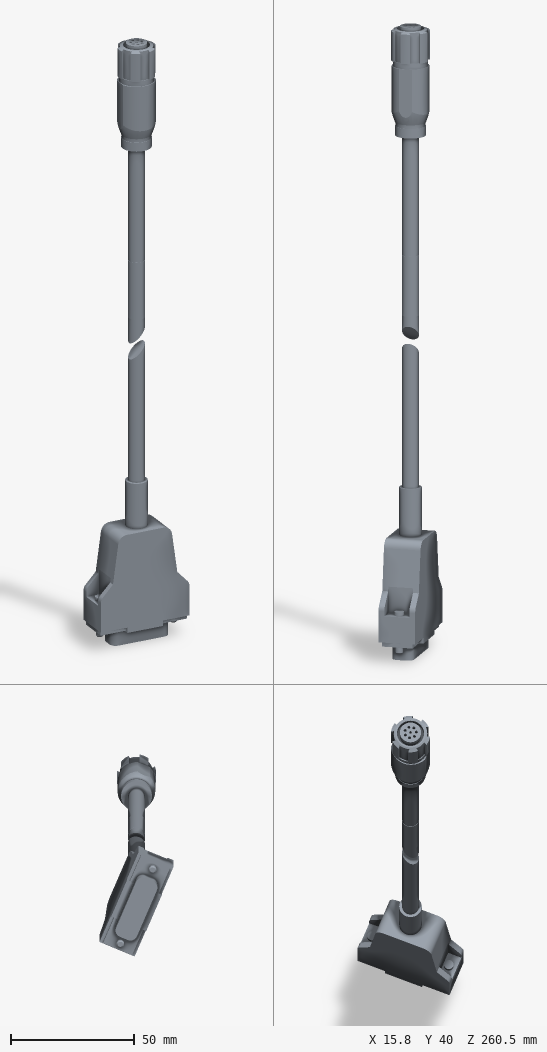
import cadquery as cq
import math

CABLE_DIA = 6.8
LABEL_DIA = 7.0
LABEL_BOTTOM_Z = 140.5
LABEL_TOP_Z = 165.5
CUT_ANGLE = 45
UPPER_CUT_Z = 132.8
LOWER_CUT_Z = 125.8

COLLAR_DIA = 12.5
COLLAR_BOTTOM_Z = 215.1
COLLAR_TOP_Z = 219.0
GROOVE_DIA = 12.0
SHOULDER_DIA = 12.5
SHOULDER_BOTTOM_Z = 220.5
SHOULDER_MID_RADIUS = 7.5
SHOULDER_MID_Z = 224.5
SHOULDER_TOP_RADIUS = 8.0
SHOULDER_TOP_Z = 228.7
GRIP_ACROSS_FLATS = 14.8
GRIP_ACROSS_SIDES = 15.0
GRIP_FLAT_WIDTH = 5.5
GRIP_TOP_Z = 244.0
NECK_DIA = 14.3
NUT_BOTTOM_Z = 246.5
NUT_TOP_Z = 259.5
NUT_DIA = 16.0
NUT_CHAMFER_HEIGHT = 0.8
NUT_CHAMFER_WIDTH = 1.8
NUT_BORE_DIA = 11.0
NUT_BORE_DEPTH = 2.5
NUT_GROOVE_COUNT = 6
NUT_GROOVE_WIDTH = 4.2
NUT_GROOVE_FLOOR_DIA = 13.5
PLUG_DIA = 8.5
PLUG_TOP_Z = 260.5
CONTACT_DIA = 1.2
CONTACT_DEPTH = 2.5
CONTACT_RING_RADIUS = 2.3
CONTACT_RING_COUNT = 7
CENTRE_CONTACT_DIA = 1.0

HOOD_THICKNESS = 15.4
HOOD_LENGTH = 40.0
HOOD_BOTTOM_Z = 8.5
HOOD_TOP_Z = 49.2
HOOD_TOP_LENGTH = 23.5
HOOD_TOP_ROUND = 4.0
WAIST_LENGTH = 29.2
WAIST_Z = 28.6
SHOULDER_Z = 23.0
SHOULDER_ROUND = 3.0
TONGUE_LENGTH = 16.1
TONGUE_BOTTOM_Z = 6.3
FLANGE_THICKNESS = 12.8
FLANGE_LENGTH = 39.0
FLANGE_BOTTOM_Z = 6.8
SHELL_THICKNESS = 9.0
SHELL_LENGTH = 26.3
SHELL_ROUND = 2.9
POCKET_WIDTH = 10.5
POCKET_FLOOR_Z = 19.5
POCKET_WALL_Y = 14.3
SCREW_Y = 16.7
SCREW_DIA = 3.0
SCREW_BOTTOM_Z = 3.6
SCREW_CHAMFER = 0.5
SCREW_HEAD_DIA = 4.0
SCREW_HEAD_HEIGHT = 1.5
SLEEVE_DIA = 9.0
SLEEVE_TOP_Z = 69.0


def cylinder(diameter, bottom_z, top_z):
    """Cylinder on the Z axis between two heights."""
    return cq.Workplane("XY").workplane(offset=bottom_z).circle(diameter / 2).extrude(top_z - bottom_z)


def block(x_size, y_size, bottom_z, top_z):
    """Box centred on the Z axis between two heights."""
    return cq.Workplane("XY").workplane(offset=bottom_z).rect(x_size, y_size).extrude(top_z - bottom_z)


def slanted_cable(cut_z, far_z):
    """Cable from a slanted end, crossing the axis at cut_z, to a square end at far_z."""
    radius = CABLE_DIA / 2
    rise = radius * math.tan(math.radians(CUT_ANGLE))
    profile = (
        cq.Workplane("YZ")
        .moveTo(-radius, cut_z - rise)
        .lineTo(radius, cut_z + rise)
        .lineTo(radius, far_z)
        .lineTo(-radius, far_z)
        .close()
        .extrude(radius, both=True)
    )
    low_z = min(cut_z - rise, far_z)
    high_z = max(cut_z + rise, far_z)
    return cylinder(CABLE_DIA, low_z, high_z).intersect(profile)


def make_grip():
    """Grip with a flat on the -Y and +Y sides, bulging sides and a rounded lower shoulder."""
    flat_y = GRIP_ACROSS_FLATS / 2
    side_x = GRIP_ACROSS_SIDES / 2
    half_flat = GRIP_FLAT_WIDTH / 2
    prism = (
        cq.Workplane("XY")
        .workplane(offset=SHOULDER_BOTTOM_Z)
        .moveTo(-half_flat, -flat_y)
        .lineTo(half_flat, -flat_y)
        .threePointArc((side_x, 0), (half_flat, flat_y))
        .lineTo(-half_flat, flat_y)
        .threePointArc((-side_x, 0), (-half_flat, -flat_y))
        .close()
        .extrude(GRIP_TOP_Z - SHOULDER_BOTTOM_Z)
    )
    envelope = (
        cq.Workplane("YZ")
        .moveTo(0, SHOULDER_BOTTOM_Z)
        .lineTo(SHOULDER_DIA / 2, SHOULDER_BOTTOM_Z)
        .threePointArc((SHOULDER_MID_RADIUS, SHOULDER_MID_Z), (SHOULDER_TOP_RADIUS, SHOULDER_TOP_Z))
        .lineTo(SHOULDER_TOP_RADIUS, GRIP_TOP_Z)
        .lineTo(0, GRIP_TOP_Z)
        .close()
        .revolve(360, (0, 0, 0), (0, 1, 0))
    )
    return prism.intersect(envelope)


def make_nut():
    """Coupling nut with lengthwise grooves all round and an open bore at the top."""
    radius = NUT_DIA / 2
    nut = (
        cq.Workplane("XZ")
        .moveTo(0, NUT_BOTTOM_Z)
        .lineTo(radius, NUT_BOTTOM_Z)
        .lineTo(radius, NUT_TOP_Z - NUT_CHAMFER_HEIGHT)
        .lineTo(radius - NUT_CHAMFER_WIDTH, NUT_TOP_Z)
        .lineTo(0, NUT_TOP_Z)
        .close()
        .revolve(360, (0, 0, 0), (0, 1, 0))
    )
    groove = (
        block(NUT_DIA, NUT_GROOVE_WIDTH, NUT_BOTTOM_Z, NUT_TOP_Z)
        .translate((radius, 0, 0))
        .cut(cylinder(NUT_GROOVE_FLOOR_DIA, NUT_BOTTOM_Z, NUT_TOP_Z))
    )
    for index in range(NUT_GROOVE_COUNT):
        nut = nut.cut(groove.rotate((0, 0, 0), (0, 0, 1), index * 360 / NUT_GROOVE_COUNT))
    return nut.cut(cylinder(NUT_BORE_DIA, NUT_TOP_Z - NUT_BORE_DEPTH, NUT_TOP_Z))


def make_plug():
    """Round insert inside the nut, with a ring of contact holes around a central one."""
    plug = cylinder(PLUG_DIA, NUT_TOP_Z - NUT_BORE_DEPTH, PLUG_TOP_Z)
    hole_bottom_z = PLUG_TOP_Z - CONTACT_DEPTH
    plug = plug.cut(cylinder(CENTRE_CONTACT_DIA, hole_bottom_z, PLUG_TOP_Z))
    ring_hole = cylinder(CONTACT_DIA, hole_bottom_z, PLUG_TOP_Z).translate((0, CONTACT_RING_RADIUS, 0))
    for index in range(CONTACT_RING_COUNT):
        plug = plug.cut(ring_hole.rotate((0, 0, 0), (0, 0, 1), index * 360 / CONTACT_RING_COUNT))
    return plug


def make_round_connector():
    """Upper cable half with its label and the round connector."""
    return (
        slanted_cable(UPPER_CUT_Z, COLLAR_BOTTOM_Z)
        .union(cylinder(LABEL_DIA, LABEL_BOTTOM_Z, LABEL_TOP_Z))
        .union(cylinder(COLLAR_DIA, COLLAR_BOTTOM_Z, COLLAR_TOP_Z))
        .union(cylinder(GROOVE_DIA, COLLAR_TOP_Z, SHOULDER_BOTTOM_Z))
        .union(make_grip())
        .union(cylinder(NECK_DIA, GRIP_TOP_Z, NUT_BOTTOM_Z))
        .union(make_nut())
        .union(make_plug())
    )


def make_hood():
    """Tapered hood with an open pocket for a screw head on each shoulder."""
    half_outline = [
        (HOOD_LENGTH / 2, HOOD_BOTTOM_Z),
        (HOOD_LENGTH / 2, SHOULDER_Z),
        (WAIST_LENGTH / 2, WAIST_Z),
        (HOOD_TOP_LENGTH / 2, HOOD_TOP_Z),
    ]
    mirrored_half = [(-y, z) for y, z in reversed(half_outline)]
    hood = (
        cq.Workplane("YZ")
        .polyline(half_outline + mirrored_half)
        .close()
        .extrude(HOOD_THICKNESS / 2, both=True)
    )
    top_corners = cq.selectors.BoxSelector(
        (-HOOD_THICKNESS, -HOOD_LENGTH, HOOD_TOP_Z - HOOD_TOP_ROUND),
        (HOOD_THICKNESS, HOOD_LENGTH, HOOD_TOP_Z + HOOD_TOP_ROUND),
    )
    shoulder_corners = cq.selectors.BoxSelector(
        (-HOOD_THICKNESS, -HOOD_LENGTH, SHOULDER_Z - SHOULDER_ROUND),
        (HOOD_THICKNESS, HOOD_LENGTH, SHOULDER_Z + SHOULDER_ROUND),
    )
    hood = hood.edges("|X").edges(top_corners).fillet(HOOD_TOP_ROUND)
    hood = hood.edges("|X").edges(shoulder_corners).fillet(SHOULDER_ROUND)

    pocket_length = HOOD_LENGTH / 2 - POCKET_WALL_Y
    pocket = block(POCKET_WIDTH, pocket_length, POCKET_FLOOR_Z, HOOD_TOP_Z)
    for side in (-1, 1):
        hood = hood.cut(pocket.translate((0, side * (POCKET_WALL_Y + pocket_length / 2), 0)))
    return hood


def make_shell():
    """Rounded plug-in shell below the flange."""
    return block(SHELL_THICKNESS, SHELL_LENGTH, 0, FLANGE_BOTTOM_Z).edges("|Z").fillet(SHELL_ROUND)


def make_screw():
    """Fixing screw: head on the pocket floor, chamfered tip below the flange."""
    shank = cylinder(SCREW_DIA, SCREW_BOTTOM_Z, POCKET_FLOOR_Z).faces("<Z").chamfer(SCREW_CHAMFER)
    return shank.union(cylinder(SCREW_HEAD_DIA, POCKET_FLOOR_Z, POCKET_FLOOR_Z + SCREW_HEAD_HEIGHT))


def make_d_connector():
    """Lower cable half with its sleeve and the D-shaped connector."""
    body = (
        make_hood()
        .union(block(HOOD_THICKNESS, TONGUE_LENGTH, TONGUE_BOTTOM_Z, HOOD_BOTTOM_Z))
        .union(block(FLANGE_THICKNESS, FLANGE_LENGTH, FLANGE_BOTTOM_Z, HOOD_BOTTOM_Z))
        .union(make_shell())
        .union(cylinder(SLEEVE_DIA, HOOD_TOP_Z, SLEEVE_TOP_Z))
        .union(slanted_cable(LOWER_CUT_Z, SLEEVE_TOP_Z))
    )
    for side in (-1, 1):
        body = body.union(make_screw().translate((0, side * SCREW_Y, 0)))
    return body


round_connector = make_round_connector()
d_connector = make_d_connector()

result = cq.Compound.makeCompound([round_connector.val(), d_connector.val()])